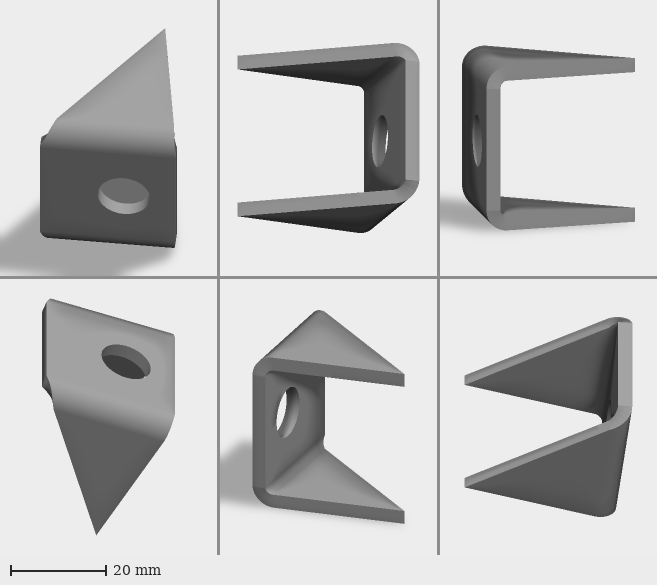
import cadquery as cq
import math

height = 35.0
apex_distance = 40.0
sheet = 3.0
inner_radius = 1.5
outer_radius = inner_radius + sheet
web_angle = 35.0
flange_end_angle = 45.0
hole_diameter = 11.0
hole_position = 17.75

web_turn = math.radians(web_angle)
far_corner_angle = math.radians(flange_end_angle)

apex = (apex_distance * math.sin(web_turn), apex_distance * math.cos(web_turn))
web_length = (
    apex_distance * math.sin(far_corner_angle) / math.sin(far_corner_angle + web_turn)
)
near_corner = outer_radius * apex[0] / apex[1]
far_corner = web_length + outer_radius * (apex[0] - web_length) / apex[1]

bend_height = height / 2 - outer_radius


def make_web():
    plate = cq.Workplane("XY").box(
        web_length, sheet, 2 * bend_height, centered=(False, False, True)
    )
    hole = (
        cq.Workplane("XZ")
        .center(hole_position, 0)
        .circle(hole_diameter / 2)
        .extrude(-sheet)
    )
    return plate.cut(hole)


def make_flange():
    corners = [(near_corner, outer_radius), (far_corner, outer_radius), apex]
    return (
        cq.Workplane("XY", origin=(0, 0, height / 2 - sheet))
        .polyline(corners)
        .close()
        .extrude(sheet)
    )


def bend_edge(radius, web_end, flange_end):
    """Helical bend edge from the web (t = 0) to the flange (t = 1)."""

    def point(t):
        angle = t * math.pi / 2
        return (
            web_end + t * (flange_end - web_end),
            outer_radius - radius * math.cos(angle),
            bend_height + radius * math.sin(angle),
        )

    return cq.Workplane("XY").parametricCurve(point, N=24, makeWire=False).val()


def make_bend():
    """Quarter bend whose ends twist from square at the web to the flange sides."""
    edges = [
        bend_edge(outer_radius, 0, near_corner),
        bend_edge(outer_radius, web_length, far_corner),
        bend_edge(inner_radius, web_length, far_corner),
        bend_edge(inner_radius, 0, near_corner),
    ]
    faces = [
        cq.Face.makeRuledSurface(edge, following)
        for edge, following in zip(edges, edges[1:] + edges[:1])
    ]
    for end_points in ([e.startPoint() for e in edges], [e.endPoint() for e in edges]):
        outline = cq.Wire.makePolygon(end_points, close=True)
        faces.append(cq.Face.makeFromWires(outline))
    return cq.Workplane(cq.Solid.makeSolid(cq.Shell.makeShell(faces)).fix())


upper_side = make_flange().union(make_bend())
lower_side = upper_side.mirror("XY")
bracket = make_web().union(upper_side).union(lower_side)
result = bracket.rotate((0, 0, 0), (0, 0, 1), web_angle)